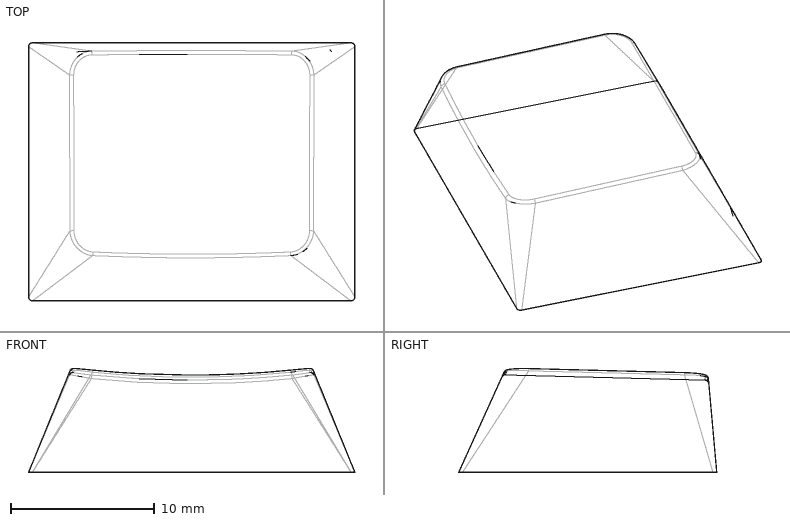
import cadquery as cq

base_width = 22.75
base_depth = 18.0
base_corner_radius = 0.27

loft_height = 7.74
upper_width = 16.35
upper_depth = 13.75
upper_shift = 1.45
upper_corner_radius = 1.82

dish_radius = 68.28
dish_center_height = 6.6
dish_center_y = 1.27
dish_slope = 1.5
rim_fillet = 0.27


def rounded_rectangle(width, depth, radius):
    return cq.Sketch().rect(width, depth).vertices().fillet(radius)


def tapered_body():
    base = rounded_rectangle(base_width, base_depth, base_corner_radius)
    upper = rounded_rectangle(upper_width, upper_depth, upper_corner_radius)
    upper_place = cq.Location(cq.Vector(0, upper_shift, loft_height), cq.Vector(1, 0, 0), -dish_slope)
    upper = upper.moved(upper_place)
    return cq.Workplane("XY").placeSketch(base, upper).loft(ruled=True)


def dish_cutter():
    cutter = cq.Workplane("XZ").circle(dish_radius).extrude(base_depth, both=True)
    cutter = cutter.translate((0, 0, dish_radius))
    cutter = cutter.rotate((0, 0, 0), (1, 0, 0), -dish_slope)
    return cutter.translate((0, dish_center_y, dish_center_height))


result = tapered_body().cut(dish_cutter())
result = result.faces(">Z").edges().fillet(rim_fillet)